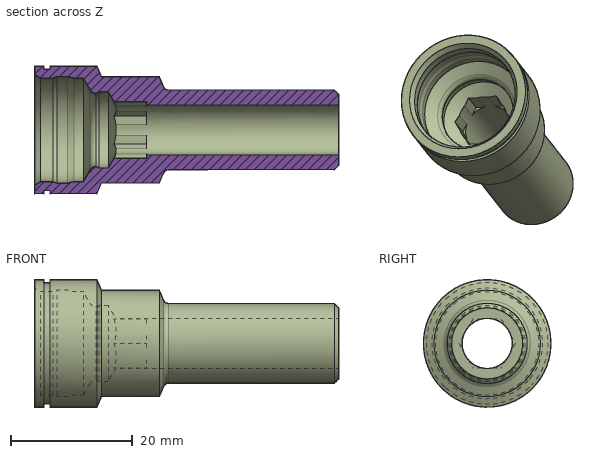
import cadquery as cq
import math

length = 50.0
groove_start = 1.5
groove_end = 2.5
head_end = 10.25
collar_start = 11.0
collar_end = 20.5
end_chamfer = 0.75

head_dia = 21.0
groove_dia = 20.0
collar_dia = 17.5
shank_dia = 13.15
neck_fillet = 0.85

mouth_dia = 18.2
mouth_depth = 1.0
socket_dia = 17.0
socket_end = 8.0
relief_dia = 17.5
relief_start = 3.0
relief_floor_start = 3.65
relief_floor_end = 5.4
relief_end = 6.5
cone_angle = math.radians(60.0)

throat_dia = 12.0
throat_round = 1.15
chamber_dia = 12.5
chamber_flare = 0.5
chamber_length = 1.5

hex_across_flats = 8.0
hex_depth = 5.0
bore_dia = 8.2


def revolve_profile(stations):
    """Revolve (x, diameter) stations about the X axis, closed along the axis."""
    points = [(x, diameter / 2) for x, diameter in stations]
    outline = [(points[0][0], 0)] + points + [(points[-1][0], 0)]
    return cq.Workplane("XY").polyline(outline).close().revolve(360, (0, 0, 0), (1, 0, 0))


def make_body():
    """Head with ring groove, tapered collar and chamfered shank."""
    taper = (collar_start - head_end) / (head_dia - collar_dia)
    neck = collar_end + taper * (collar_dia - shank_dia)
    body = revolve_profile([
        (0, head_dia),
        (groove_start, head_dia),
        (groove_start, groove_dia),
        (groove_end, groove_dia),
        (groove_end, head_dia),
        (head_end, head_dia),
        (collar_start, collar_dia),
        (collar_end, collar_dia),
        (neck, shank_dia),
        (length, shank_dia),
    ])
    body = body.faces(">X").chamfer(end_chamfer)
    reach = neck_fillet / 2
    neck_box = cq.selectors.BoxSelector(
        (neck - reach, -shank_dia, -shank_dia),
        (neck + reach, shank_dia, shank_dia),
        boundingbox=True,
    )
    return body.edges(neck_box).fillet(neck_fillet)


seat_dia = throat_dia + 2 * throat_round * (1 - math.cos(cone_angle))
seat_end = socket_end + (socket_dia - seat_dia) / 2 / math.tan(cone_angle)
throat_start = seat_end + throat_round * math.sin(cone_angle)
chamber_start = throat_start + chamber_flare
chamber_end = chamber_start + chamber_length
hex_start = chamber_end + (chamber_dia - hex_across_flats) / 2 / math.tan(cone_angle)


def make_socket():
    """Flared socket with a shallow relief, ending in the conical seat."""
    return revolve_profile([
        (0, mouth_dia),
        (mouth_depth, socket_dia),
        (relief_start, socket_dia),
        (relief_floor_start, relief_dia),
        (relief_floor_end, relief_dia),
        (relief_end, socket_dia),
        (socket_end, socket_dia),
        (seat_end, seat_dia),
    ])


def make_throat():
    """Opening with a convex rounded entry, tangent to the seat cone and the throat."""
    half_turn = cone_angle / 2
    arc_middle = (
        throat_start - throat_round * math.sin(half_turn),
        throat_dia / 2 + throat_round * (1 - math.cos(half_turn)),
    )
    return (
        cq.Workplane("XY")
        .moveTo(seat_end, 0)
        .lineTo(seat_end, seat_dia / 2)
        .threePointArc(arc_middle, (throat_start, throat_dia / 2))
        .lineTo(throat_start, 0)
        .close()
        .revolve(360, (0, 0, 0), (1, 0, 0))
    )


def make_chamber():
    """Chamber behind the throat with a conical lead into the hexagon."""
    return revolve_profile([
        (throat_start, throat_dia),
        (chamber_start, chamber_dia),
        (chamber_end, chamber_dia),
        (hex_start, hex_across_flats),
    ])


def make_hexagon():
    """Hexagonal pocket with two corners on the Y axis, open to the lead cone."""
    across_corners = hex_across_flats / math.cos(math.pi / 6)
    return (
        cq.Workplane("YZ", origin=(chamber_end, 0, 0))
        .polygon(6, across_corners)
        .extrude(hex_start - chamber_end + hex_depth)
    )


def make_bore():
    """Round bore from the lead cone through the shank."""
    return (
        cq.Workplane("YZ", origin=(chamber_end, 0, 0))
        .circle(bore_dia / 2)
        .extrude(length - chamber_end)
    )


result = make_body()
for cavity in (make_socket(), make_throat(), make_chamber(), make_hexagon(), make_bore()):
    result = result.cut(cavity)